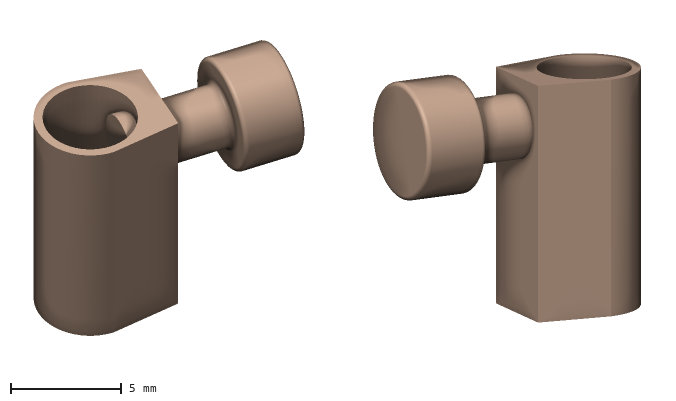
import cadquery as cq

bore_diameter = 4.3
wall = 0.41
outer_radius = bore_diameter / 2 + wall
sleeve_length = 6.0
sleeve_height = 11.0
flat_width = 4.0
flat_y = sleeve_length - outer_radius

head_diameter = 5.4
head_length = 3.0
head_edge_radius = 0.2
neck_fillet = 0.2
shank_diameter = 3.0
exposed_shank = 3.0
insertion_depth = 2.0
screw_rise = 0.4
screw_z = sleeve_height + screw_rise - head_diameter / 2
tip_y = flat_y - insertion_depth
head_seat_y = flat_y + exposed_shank


def y_cylinder(diameter, start_y, length):
    """Cylinder on the screw axis, growing toward +Y from start_y."""
    axis_start = cq.Vector(0, start_y, screw_z)
    return cq.Workplane(cq.Solid.makeCylinder(diameter / 2, length, axis_start, cq.Vector(0, 1, 0)))


def make_sleeve():
    half_flat = flat_width / 2
    body = (
        cq.Workplane("XY")
        .moveTo(-half_flat, flat_y)
        .lineTo(half_flat, flat_y)
        .lineTo(outer_radius, 0)
        .threePointArc((0, -outer_radius), (-outer_radius, 0))
        .close()
        .extrude(sleeve_height)
    )
    bore = cq.Workplane("XY").circle(bore_diameter / 2).extrude(sleeve_height)
    screw_hole = y_cylinder(shank_diameter, tip_y, insertion_depth)
    return body.cut(bore).cut(screw_hole)


def make_screw():
    head = y_cylinder(head_diameter, head_seat_y, head_length).edges("%CIRCLE").fillet(head_edge_radius)
    shank = y_cylinder(shank_diameter, tip_y, head_seat_y - tip_y)
    box_half = shank_diameter / 2 + neck_fillet
    neck_edge = cq.selectors.BoxSelector(
        (-box_half, head_seat_y - neck_fillet / 2, screw_z - box_half),
        (box_half, head_seat_y + neck_fillet / 2, screw_z + box_half),
        boundingbox=True,
    )
    return head.union(shank).edges(neck_edge).fillet(neck_fillet)


sleeve = make_sleeve()
screw = make_screw()
result = cq.Compound.makeCompound([sleeve.val(), screw.val()])